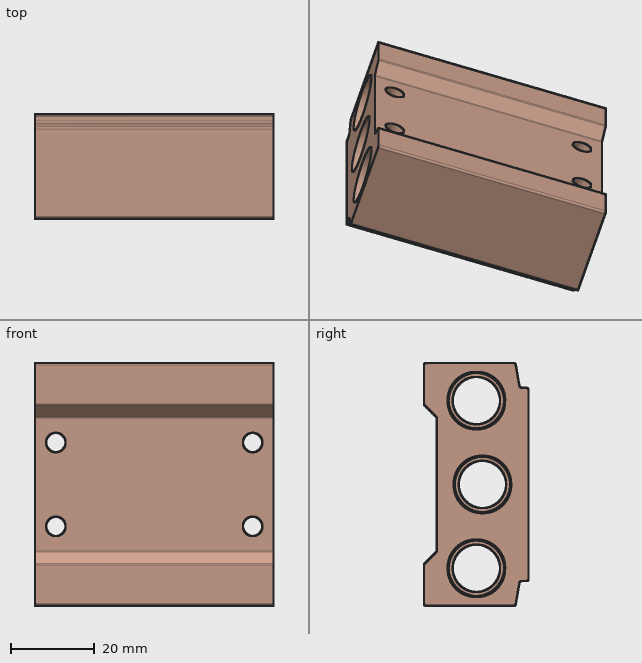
import cadquery as cq

length = 57.0
depth = 25.0
height = 58.0
half_height = height / 2

tongue_half_height = 23.1
shoulder_root_y = 22.9
shoulder_outer_y = 21.85

channel_depth = 3.0
channel_floor_half_height = 16.0
channel_mouth_half_height = channel_floor_half_height + channel_depth

edge_radius = 0.5
channel_root_radius = 0.3

pitch = 20.0
bore_diameter = 11.25
port_mouth_diameter = 13.8
port_inner_diameter = 13.2
port_depth = 10.0
outer_bore_y = 12.5
middle_bore_y = 14.0

mount_hole_diameter = 4.6
mount_hole_spacing = 47.0


def make_body():
    """Extruded block profile, with Y = 0 on the front face."""
    upper_half = [
        (0, channel_mouth_half_height),
        (0, half_height),
        (shoulder_outer_y, half_height),
        (shoulder_root_y, tongue_half_height),
        (depth, tongue_half_height),
    ]
    channel_top = (channel_depth, channel_floor_half_height)
    upper_outline = [channel_top] + upper_half
    lower_half = [(y, -z) for y, z in reversed(upper_outline)]
    body = (
        cq.Workplane("YZ")
        .polyline(upper_outline + lower_half)
        .close()
        .extrude(length / 2, both=True)
    )
    margin = edge_radius
    channel_roots = cq.selectors.BoxSelector(
        (-length, channel_depth - margin, -channel_floor_half_height - margin),
        (length, channel_depth + margin, channel_floor_half_height + margin),
    )
    body = body.edges("|X").edges(-channel_roots).fillet(edge_radius)
    return body.edges("|X").edges(channel_roots).fillet(channel_root_radius)


def make_bore(y, z):
    """Through bore joined to a port that narrows inward from each end face."""
    bore = (
        cq.Workplane("YZ", origin=(-length / 2, y, z))
        .circle(bore_diameter / 2)
        .extrude(length)
    )
    for side in (-1, 1):
        port = cq.Solid.makeCone(
            port_mouth_diameter / 2,
            port_inner_diameter / 2,
            port_depth,
            pnt=cq.Vector(side * length / 2, y, z),
            dir=cq.Vector(-side, 0, 0),
        )
        bore = bore.union(cq.Workplane(port))
    return bore


def make_mount_holes():
    """Four through holes, placed midway between the bores in height."""
    return (
        cq.Workplane("XZ")
        .rarray(mount_hole_spacing, pitch, 2, 2)
        .circle(mount_hole_diameter / 2)
        .extrude(-depth)
    )


result = make_body()
for bore_y, bore_z in ((outer_bore_y, -pitch), (middle_bore_y, 0), (outer_bore_y, pitch)):
    result = result.cut(make_bore(bore_y, bore_z))
result = result.cut(make_mount_holes())